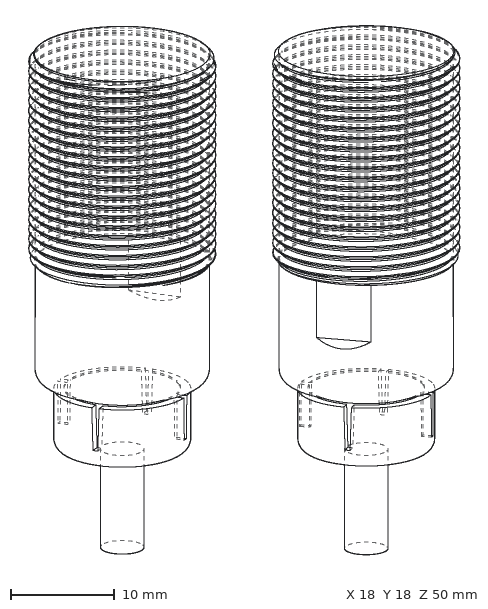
import cadquery as cq
import math


OVERALL_LENGTH = 50.0

THREAD_DIAMETER = 18.0
THREAD_PITCH = 1.0
THREAD_DEPTH = 0.6
THREAD_LENGTH = 21.0
THREAD_FLANK_ANGLE = 30.0
CREST_FLAT = THREAD_PITCH / 8
CREST_HEIGHT_AT_PLUS_X = 0.7
RIDGE_OVERLAP = 0.05
HELIX_OVERRUN_TURNS = 2

BODY_RADIUS = THREAD_DIAMETER / 2 - THREAD_DEPTH
BODY_LENGTH = 10.9
SHOULDER_RADIUS = 1.1
SHOULDER_SLOPE = 24.0
NECK_RADIUS = 5.6
NECK_LENGTH = 0.15

FLAT_DEPTH = 0.45
FLAT_LENGTH = 5.7
FLAT_RUNOUT = 0.8

GLAND_RADIUS = 6.6
GLAND_LENGTH = 6.1
GLAND_FILLET = 1.1
CABLE_RADIUS = 2.1
CABLE_LENGTH = 10.0

SLOT_COUNT = 4
SLOT_LENGTH = 4.3
SLOT_TOP_WIDTH = 0.76
SLOT_BOTTOM_WIDTH = 0.5

THREAD_RADIUS = THREAD_DIAMETER / 2
THREAD_BOTTOM = OVERALL_LENGTH - THREAD_LENGTH
BODY_BOTTOM = THREAD_BOTTOM - BODY_LENGTH
GLAND_TOP = CABLE_LENGTH + GLAND_LENGTH
NECK_TOP = GLAND_TOP + NECK_LENGTH


def make_body():
    """Everything turned about the axis, with the barrel at its thread root radius."""
    slope = math.radians(SHOULDER_SLOPE)
    sweep = math.pi / 2 - slope
    centre_r = BODY_RADIUS - SHOULDER_RADIUS

    def shoulder_point(angle):
        return (
            centre_r + SHOULDER_RADIUS * math.cos(angle),
            BODY_BOTTOM - SHOULDER_RADIUS * math.sin(angle),
        )

    return (
        cq.Workplane("XZ")
        .moveTo(0, 0)
        .lineTo(CABLE_RADIUS, 0)
        .lineTo(CABLE_RADIUS, CABLE_LENGTH)
        .lineTo(GLAND_RADIUS - GLAND_FILLET, CABLE_LENGTH)
        .radiusArc((GLAND_RADIUS, CABLE_LENGTH + GLAND_FILLET), -GLAND_FILLET)
        .lineTo(GLAND_RADIUS, GLAND_TOP)
        .lineTo(NECK_RADIUS, GLAND_TOP)
        .lineTo(NECK_RADIUS, NECK_TOP)
        .lineTo(*shoulder_point(sweep))
        .threePointArc(shoulder_point(sweep / 2), (BODY_RADIUS, BODY_BOTTOM))
        .lineTo(BODY_RADIUS, OVERALL_LENGTH)
        .lineTo(0, OVERALL_LENGTH)
        .close()
        .revolve(360, (0, 0, 0), (0, 1, 0))
    )


def make_thread_ridge():
    """Right-hand helical ridge, trimmed to the thread length with bevelled ends."""
    root = BODY_RADIUS - RIDGE_OVERLAP
    half_crest = CREST_FLAT / 2
    half_root = half_crest + (THREAD_RADIUS - root) * math.tan(math.radians(THREAD_FLANK_ANGLE))
    start = THREAD_BOTTOM + (CREST_HEIGHT_AT_PLUS_X - HELIX_OVERRUN_TURNS) * THREAD_PITCH
    length = THREAD_LENGTH + HELIX_OVERRUN_TURNS * THREAD_PITCH
    helix = cq.Wire.makeHelix(THREAD_PITCH, length, root, cq.Vector(0, 0, start))
    ridge = (
        cq.Workplane("XZ")
        .polyline([
            (root, start - half_root),
            (THREAD_RADIUS, start - half_crest),
            (THREAD_RADIUS, start + half_crest),
            (root, start + half_root),
        ])
        .close()
        .sweep(cq.Workplane(obj=helix), isFrenet=True)
    )
    envelope = (
        cq.Workplane("XY", origin=(0, 0, THREAD_BOTTOM))
        .circle(THREAD_RADIUS + RIDGE_OVERLAP)
        .extrude(THREAD_LENGTH)
        .faces("<Z or >Z")
        .chamfer(THREAD_DEPTH)
    )
    return ridge.intersect(envelope)


def make_label_flat():
    """Cutter for the +Y flat, which runs out to the housing side at its lower end."""
    floor_y = BODY_RADIUS - FLAT_DEPTH
    floor_bottom = THREAD_BOTTOM - FLAT_LENGTH
    return (
        cq.Workplane("YZ")
        .polyline([
            (floor_y, THREAD_BOTTOM),
            (floor_y, floor_bottom),
            (BODY_RADIUS, floor_bottom - FLAT_RUNOUT),
            (THREAD_RADIUS, floor_bottom - FLAT_RUNOUT),
            (THREAD_RADIUS, THREAD_BOTTOM),
        ])
        .close()
        .extrude(BODY_RADIUS, both=True)
    )


def make_gland_slot(angle):
    """Cutter for one tapered slot, open at the gland top and as deep as the neck."""
    slot = (
        cq.Workplane("YZ")
        .polyline([
            (-SLOT_TOP_WIDTH / 2, GLAND_TOP),
            (-SLOT_BOTTOM_WIDTH / 2, GLAND_TOP - SLOT_LENGTH),
            (SLOT_BOTTOM_WIDTH / 2, GLAND_TOP - SLOT_LENGTH),
            (SLOT_TOP_WIDTH / 2, GLAND_TOP),
        ])
        .close()
        .extrude(THREAD_RADIUS)
    )
    neck_core = cq.Workplane("XY").circle(NECK_RADIUS).extrude(GLAND_TOP)
    return slot.cut(neck_core).rotate((0, 0, 0), (0, 0, 1), angle)


result = make_body().cut(make_label_flat())
for index in range(SLOT_COUNT):
    result = result.cut(make_gland_slot(index * 360 / SLOT_COUNT))
result = result.union(make_thread_ridge())